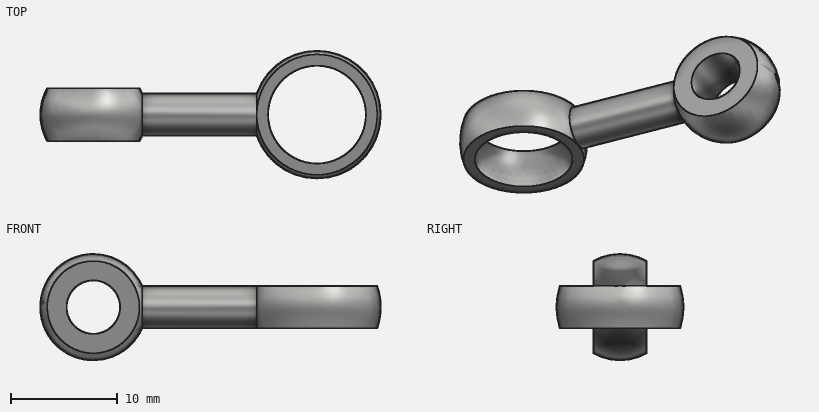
import cadquery as cq

pitch = 21.0
ball_radius = 5.0
ball_width = 5.0
pin_hole_diameter = 5.0
socket_wall = 1.0
socket_height = 4.0
rod_diameter = 4.0

seat_radius = ball_radius
socket_radius = seat_radius + socket_wall


def make_ball():
    """Sphere at the origin, cut to two flats facing -Y and +Y."""
    slab = cq.Workplane("XY").box(2 * ball_radius, ball_width, 2 * ball_radius)
    return cq.Workplane("XY").sphere(ball_radius).intersect(slab)


def make_pin_hole():
    """Cylinder along Y through the ball centre."""
    return (
        cq.Workplane("XZ", origin=(0, ball_width / 2, 0))
        .circle(pin_hole_diameter / 2)
        .extrude(ball_width)
    )


def make_socket_body():
    """Solid sphere at the socket centre, cut to two flats facing -Z and +Z."""
    slab = cq.Workplane("XY").box(2 * socket_radius, 2 * socket_radius, socket_height)
    return cq.Workplane("XY").sphere(socket_radius).intersect(slab).translate((pitch, 0, 0))


def make_seat():
    """Sphere that hollows the socket body into a ring."""
    return cq.Workplane("XY").sphere(seat_radius).translate((pitch, 0, 0))


def make_rod():
    """Round rod from ball centre to socket centre; its ends are opened by the hole and the seat."""
    return cq.Workplane("YZ").circle(rod_diameter / 2).extrude(pitch)


result = (
    make_ball()
    .union(make_rod())
    .union(make_socket_body())
    .cut(make_pin_hole())
    .cut(make_seat())
)